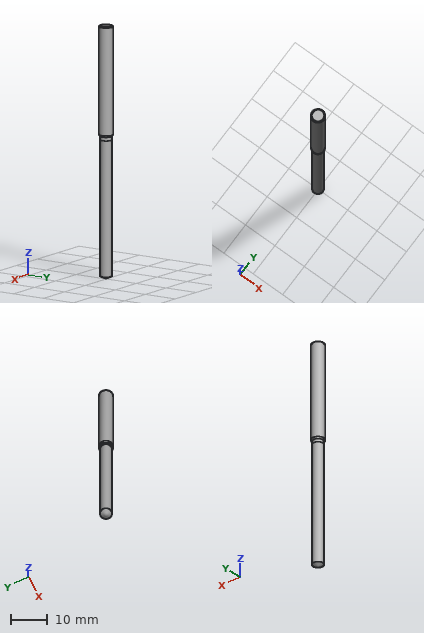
import cadquery as cq
import math

overall_length = 71.0
shank_radius = 2.0
drill_radius = 1.67

shank_length = 30.5
neck_end_depth = 32.0
top_chamfer_height = 0.3
shoulder_height = 0.5
top_face_radius = 1.67

point_angle = 130.0
point_height = drill_radius / math.tan(math.radians(point_angle / 2))

joint_z = overall_length - neck_end_depth
shank_bottom_z = overall_length - shank_length


def revolve_profile(profile):
    """Revolve a closed (radius, height) outline around the Z axis."""
    return profile.revolve(360, (0, 0, 0), (0, 1, 0))


def make_shank():
    """Chamfered shank with a tapered shoulder and a short neck."""
    profile = (
        cq.Workplane("XZ")
        .moveTo(0, joint_z)
        .lineTo(drill_radius, joint_z)
        .lineTo(drill_radius, shank_bottom_z - shoulder_height)
        .lineTo(shank_radius, shank_bottom_z)
        .lineTo(shank_radius, overall_length - top_chamfer_height)
        .lineTo(top_face_radius, overall_length)
        .lineTo(0, overall_length)
        .close()
    )
    return revolve_profile(profile)


def make_drill_body():
    """Plain cylinder with a conical point, meeting the neck at a flat joint."""
    profile = (
        cq.Workplane("XZ")
        .moveTo(0, 0)
        .lineTo(drill_radius, point_height)
        .lineTo(drill_radius, joint_z)
        .lineTo(0, joint_z)
        .close()
    )
    return revolve_profile(profile)


shank = make_shank()
drill_body = make_drill_body()

result = cq.Compound.makeCompound([shank.val(), drill_body.val()])